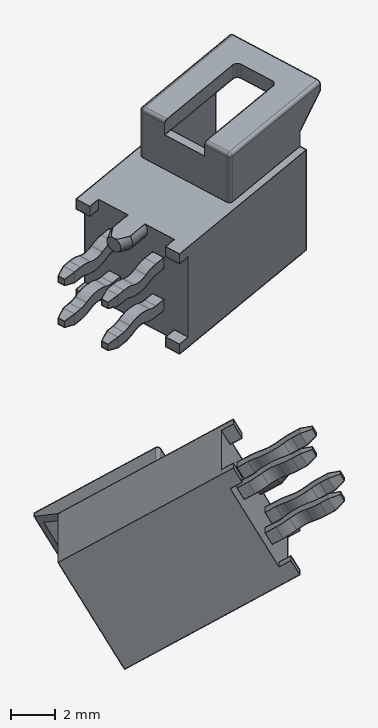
import cadquery as cq


total_length = 13.71
total_height = 8.84
body_width = 5.94
body_height = 5.96
hood_overhang = 1.45
pin_length = 3.81
body_length = total_length - hood_overhang - pin_length

foot_width = 0.8
foot_height = 0.59
foot_length = 0.62

hood_width = 5.2
hood_length = 6.46
hood_lip = 0.55
hood_round = 0.18
hood_back = body_length + hood_overhang
hood_front = hood_back - hood_length

window_width = 2.29
window_corner = 0.26
window_back_bar = 1.33
front_wall = 0.44
roof_thickness = 0.84
side_wall = 0.74

peg_diameter = 1.25
peg_tip_diameter = 0.8
peg_straight = 1.05
peg_length = 1.62
peg_drop = 0.38

pin_pitch = 2.5
pin_centre_height = 2.99
pin_size = 0.65
pin_tip_size = 0.37
pin_tip_length = 0.55
bend_start = 0.56
bend_half_length = 1.14
bend_depth = 0.26


def block(x_size, y_from, y_to, z_from, z_to):
    """Box centred on x = 0 between the given Y and Z limits."""
    size = (x_size, y_to - y_from, z_to - z_from)
    return cq.Workplane("XY").box(*size, centered=(True, False, False)).translate((0, y_from, z_from))


def make_body():
    body = block(body_width, 0, body_length, 0, body_height)
    foot_x = (body_width - foot_width) / 2
    for x in (-foot_x, foot_x):
        for z in (0, body_height - foot_height):
            foot = block(foot_width, -foot_length, 0, z, z + foot_height)
            body = body.union(foot.translate((x, 0, 0)))
    return body


def make_hood():
    slope_top = total_height - hood_lip
    hood = (
        cq.Workplane("YZ")
        .moveTo(hood_front, body_height)
        .lineTo(hood_front, total_height)
        .lineTo(hood_back, total_height)
        .lineTo(hood_back, slope_top)
        .lineTo(body_length, slope_top - hood_overhang)
        .lineTo(body_length, body_height)
        .close()
        .extrude(hood_width / 2, both=True)
    )
    hood = hood.faces("<Y").edges("|Z").fillet(hood_round)
    return hood.faces(">Z").edges("not >Y").fillet(hood_round)


def cut_openings(part):
    """Cut the roof window and the mating cavity, which is open at the rear and reaches up to the roof."""
    roof_underside = total_height - roof_thickness
    cavity_width = body_width - 2 * side_wall
    cavity_front = hood_front + front_wall
    window_back = hood_back - window_back_bar
    window = block(window_width, hood_front, window_back, roof_underside, total_height)
    window = window.edges("|Z and >Y").fillet(window_corner)
    cavity = block(cavity_width, cavity_front, hood_back, side_wall, roof_underside)
    return part.cut(window).cut(cavity)


def make_peg():
    radius = peg_diameter / 2
    peg = (
        cq.Workplane("XY")
        .lineTo(radius, 0)
        .lineTo(radius, -peg_straight)
        .lineTo(peg_tip_diameter / 2, -peg_length)
        .lineTo(0, -peg_length)
        .close()
        .revolve(360, (0, 0, 0), (0, 1, 0))
        .translate((0, 0, body_height - peg_drop))
    )
    return peg.intersect(block(peg_diameter, -peg_length, 0, 0, body_height))


def make_pin():
    """Pin along -Y with its centre line at z = 0 and one bend that dips towards -Z."""
    shoulder = pin_length - pin_tip_length

    dip_y = -bend_start - bend_half_length
    quarter = bend_half_length / 2
    path = (
        cq.Workplane("YZ")
        .lineTo(-bend_start, 0)
        .tangentArcPoint((-bend_start - quarter, -bend_depth / 2), relative=False)
        .tangentArcPoint((dip_y - quarter, -bend_depth / 2), relative=False)
        .tangentArcPoint((dip_y - bend_half_length, 0), relative=False)
        .lineTo(-shoulder, 0)
    )
    shank = cq.Workplane("XZ").rect(pin_size, pin_size).sweep(path)
    tip = (
        cq.Workplane("XZ", origin=(0, -shoulder, 0))
        .rect(pin_size, pin_size)
        .workplane(offset=pin_tip_length)
        .rect(pin_tip_size, pin_tip_size)
        .loft()
    )
    return shank.union(tip)


def make_pins():
    """Four pins; the lower row is mirrored so that both rows bend towards each other."""
    upper_pin = make_pin().translate((0, 0, pin_pitch / 2))
    column = upper_pin.union(upper_pin.mirror("XY")).translate((0, 0, pin_centre_height))
    left_column = column.translate((-pin_pitch / 2, 0, 0))
    right_column = column.translate((pin_pitch / 2, 0, 0))
    return left_column.union(right_column)


housing = cut_openings(make_body().union(make_hood()))
result = housing.union(make_peg()).union(make_pins())